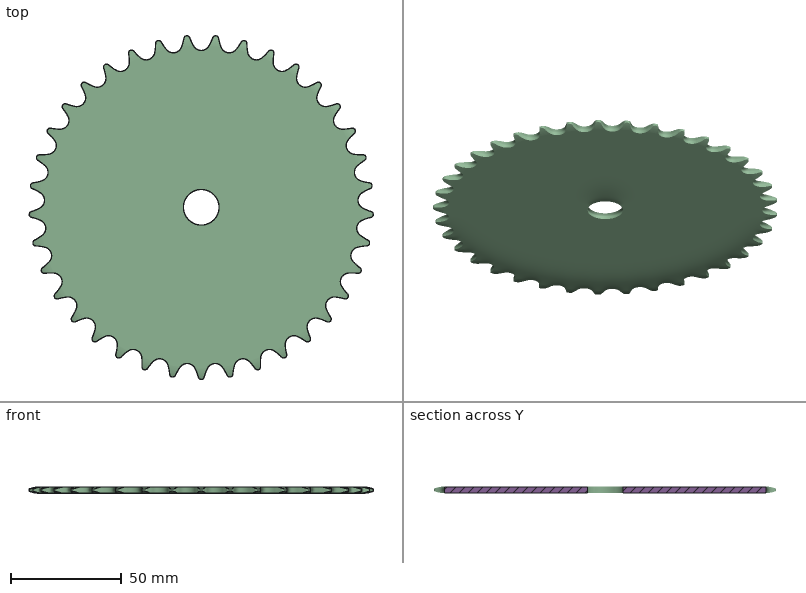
import cadquery as cq
import math

chain_pitch = 12.7
roller_diameter = 7.75
tooth_count = 37

thickness = 3.0
bore_diameter = 16.0
tip_radius = 77.88

tooth_angle = 360.0 / tooth_count
pitch_radius = chain_pitch / (2 * math.sin(math.radians(tooth_angle / 2)))
seat_radius = 0.505 * roller_diameter
seat_half_angle = (120.0 - 90.0 / tooth_count) / 2
flank_radius = 21.0

relief_start_radius = 72.9
relief_arc_radius = chain_pitch
rim_clearance = 0.5


def rotated(point, degrees):
    angle = math.radians(degrees)
    x = point[0] * math.cos(angle) - point[1] * math.sin(angle)
    y = point[0] * math.sin(angle) + point[1] * math.cos(angle)
    return (x, y)


def mirrored(point):
    return (-point[0], point[1])


def tooth_gap_points():
    """Right half of a gap opening along +Y: flank end, flank middle, seat end, seat bottom."""
    angle = math.radians(seat_half_angle)
    seat_end = (seat_radius * math.sin(angle), pitch_radius - seat_radius * math.cos(angle))
    seat_bottom = (0.0, pitch_radius - seat_radius)

    center_x = seat_end[0] - flank_radius * math.sin(angle)
    center_y = seat_end[1] + flank_radius * math.cos(angle)

    axis_x, axis_y = rotated((0.0, 1.0), -tooth_angle / 2)
    center_along_axis = center_x * axis_x + center_y * axis_y
    center_offset_squared = math.hypot(center_x, center_y) ** 2 - center_along_axis**2
    outward_gap = tip_radius - center_along_axis
    touch_term = center_offset_squared + outward_gap**2 - flank_radius**2
    tip_round = touch_term / (2 * (flank_radius + outward_gap))
    tip_center = (axis_x * (tip_radius - tip_round), axis_y * (tip_radius - tip_round))

    def flank_point(direction):
        x = center_x + flank_radius * math.cos(direction)
        y = center_y + flank_radius * math.sin(direction)
        return (x, y)

    start_direction = angle - math.pi / 2
    end_direction = math.atan2(tip_center[1] - center_y, tip_center[0] - center_x)
    flank_middle = flank_point((start_direction + end_direction) / 2)
    return flank_point(end_direction), flank_middle, seat_end, seat_bottom


def toothed_plate():
    """Flat plate with every tooth, at full thickness; one gap is centred on +Y."""
    flank_end, flank_middle, seat_end, seat_bottom = tooth_gap_points()
    tip_middle = rotated((0.0, tip_radius), tooth_angle / 2)
    next_flank_end = rotated(flank_end, tooth_angle)
    outline = cq.Workplane("XY").workplane(offset=-thickness / 2).moveTo(*flank_end)
    for index in range(tooth_count):
        turn = index * tooth_angle
        arcs = [
            (flank_middle, seat_end),
            (seat_bottom, mirrored(seat_end)),
            (mirrored(flank_middle), mirrored(flank_end)),
            (tip_middle, next_flank_end),
        ]
        for middle, end in arcs:
            outline = outline.threePointArc(rotated(middle, turn), rotated(end, turn))
    return outline.close().extrude(thickness)


def relief_envelope():
    """Disc with its rim curving in on both sides, each arc tangent to a flat face."""
    half = thickness / 2

    def relief_height(radius):
        run = radius - relief_start_radius
        return half - relief_arc_radius + math.sqrt(relief_arc_radius**2 - run**2)

    rim_radius = tip_radius + rim_clearance
    middle_radius = (relief_start_radius + rim_radius) / 2
    middle_height = relief_height(middle_radius)
    rim_height = relief_height(rim_radius)
    section = (
        cq.Workplane("XZ")
        .moveTo(0, -half)
        .lineTo(relief_start_radius, -half)
        .threePointArc((middle_radius, -middle_height), (rim_radius, -rim_height))
        .lineTo(rim_radius, rim_height)
        .threePointArc((middle_radius, middle_height), (relief_start_radius, half))
        .lineTo(0, half)
        .close()
    )
    return section.revolve(360, (0, 0, 0), (0, 1, 0))


sprocket = toothed_plate().intersect(relief_envelope())
result = sprocket.faces(">Z").workplane(origin=(0, 0, 0)).hole(bore_diameter)